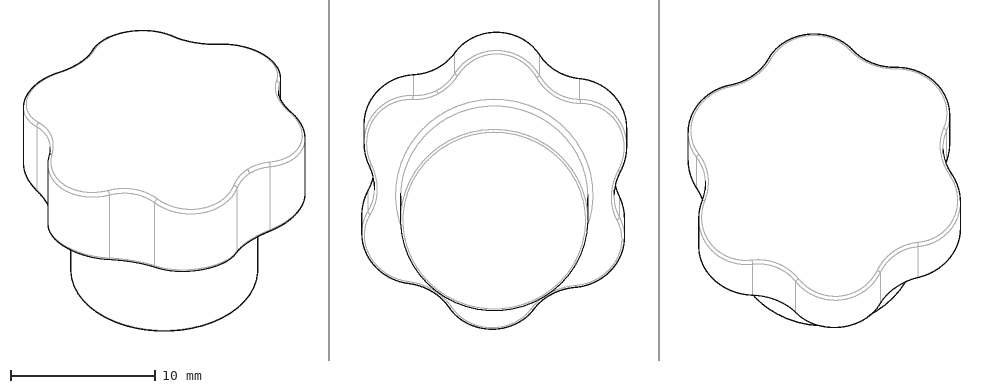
import cadquery as cq
import math

height = 15.0
outer_radius = 10.0
stem_radius = 13.0 / 2
stem_height = 7.02

lobe_count = 6
lobe_radius = 3.5
hollow_radius = 3.5

dome_radius = 40.0
underside_radius = 24.0
top_rim_fillet = 0.25
bottom_rim_fillet = 0.3
neck_fillet = 0.5
stem_end_fillet = 0.15

half_pitch = math.pi / lobe_count
lobe_center_distance = outer_radius - lobe_radius
half_chord = lobe_center_distance * math.sin(half_pitch)
hollow_center_distance = lobe_center_distance * math.cos(half_pitch) + math.sqrt(
    (lobe_radius + hollow_radius) ** 2 - half_chord**2
)
hollow_bottom_distance = hollow_center_distance - hollow_radius


def polar(distance, angle):
    return distance * math.cos(angle), distance * math.sin(angle)


def tangent_point(lobe_angle, hollow_angle):
    """Point where a lobe arc runs smoothly into a neighbouring hollow arc."""
    lobe_x, lobe_y = polar(lobe_center_distance, lobe_angle)
    hollow_x, hollow_y = polar(hollow_center_distance, hollow_angle)
    share = lobe_radius / (lobe_radius + hollow_radius)
    return lobe_x + share * (hollow_x - lobe_x), lobe_y + share * (hollow_y - lobe_y)


def lobed_prism():
    """Full-height prism with one lobe pointing along +Y."""
    first_lobe = math.pi / 2
    outline = cq.Workplane("XY").moveTo(*tangent_point(first_lobe, first_lobe - half_pitch))
    for index in range(lobe_count):
        lobe = first_lobe + 2 * half_pitch * index
        hollow = lobe + half_pitch
        next_lobe = hollow + half_pitch
        outline = outline.threePointArc(polar(outer_radius, lobe), tangent_point(lobe, hollow))
        outline = outline.threePointArc(
            polar(hollow_bottom_distance, hollow), tangent_point(next_lobe, hollow)
        )
    return outline.close().extrude(height)


def sphere_rise(sphere_radius, distance):
    """Height gained on a sphere between its pole and a distance from the axis."""
    return sphere_radius - math.sqrt(sphere_radius**2 - distance**2)


def head():
    """Lobed head between a domed top and a spherical underside, with rounded rims."""
    overhang = 1.0
    blank_radius = outer_radius + overhang
    underside_pole = stem_height - sphere_rise(underside_radius, stem_radius)
    blank = (
        cq.Workplane("XZ")
        .moveTo(0, underside_pole)
        .threePointArc(
            (blank_radius / 2, underside_pole + sphere_rise(underside_radius, blank_radius / 2)),
            (blank_radius, underside_pole + sphere_rise(underside_radius, blank_radius)),
        )
        .lineTo(blank_radius, height - sphere_rise(dome_radius, blank_radius))
        .threePointArc(
            (blank_radius / 2, height - sphere_rise(dome_radius, blank_radius / 2)),
            (0, height),
        )
        .close()
        .revolve(360, (0, 0, 0), (0, 1, 0))
    )
    body = lobed_prism().intersect(blank)
    body = body.faces(">Z").edges().fillet(top_rim_fillet)
    return body.faces("<Z").edges().fillet(bottom_rim_fillet)


def stem():
    """Round stem with a rounded lower end."""
    cylinder = cq.Workplane("XY").circle(stem_radius).extrude(stem_height)
    return cylinder.faces("<Z").edges().fillet(stem_end_fillet)


def round_neck(knob):
    """Fillet the circle where the stem meets the underside of the head."""
    margin = 0.1
    reach = stem_radius + margin
    neck_edge = cq.selectors.BoxSelector(
        (-reach, -reach, stem_height - margin), (reach, reach, stem_height + margin), boundingbox=True
    )
    return knob.edges(neck_edge).fillet(neck_fillet)


result = round_neck(head().union(stem()))